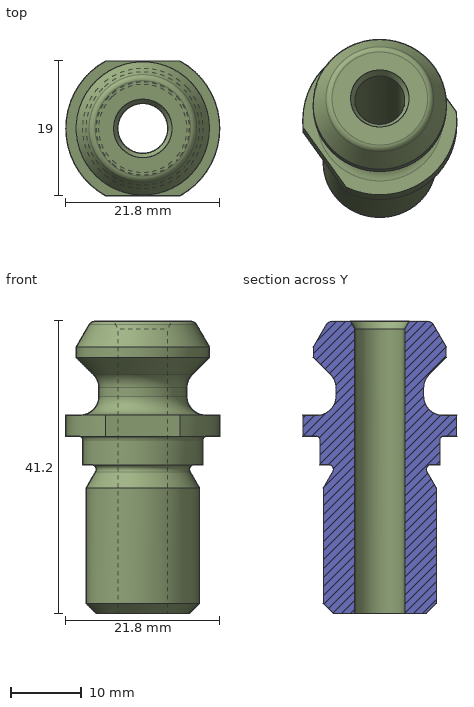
import cadquery as cq
import math

length = 41.25
bore_diameter = 7.0
bore_chamfer_width = 0.6
bore_chamfer_angle = math.radians(30)

shank_diameter = 16.0
shank_chamfer = 1.45

relief_diameter = 13.2
relief_fillet = 0.65
relief_taper_angle = 30

collar_diameter = 17.0
collar_bottom = 21.0
collar_fillet = 0.5

flange_diameter = 21.75
flange_bottom = 25.0
flange_top = 28.0
flats_width = 19.0

neck_diameter = 12.45
neck_fillet = 2.65
head_diameter = 18.8
head_rim_bottom = 36.15
head_rim_top = 37.6
head_taper_angle = math.radians(30)
head_edge_fillet = 1.0

shank_radius = shank_diameter / 2
relief_radius = relief_diameter / 2
collar_radius = collar_diameter / 2
flange_radius = flange_diameter / 2
neck_radius = neck_diameter / 2
head_radius = head_diameter / 2

relief_center = (relief_radius + relief_fillet, collar_bottom - relief_fillet)
relief_taper = math.radians(relief_taper_angle)
relief_cone_radius = relief_center[0] - relief_fillet * math.cos(relief_taper)
relief_cone_top = relief_center[1] - relief_fillet * math.sin(relief_taper)
shank_top = relief_cone_top - (shank_radius - relief_cone_radius) / math.tan(relief_taper)

diagonal = math.sqrt(0.5)
underside_radius = neck_radius + neck_fillet * (1 - diagonal)
underside_z = head_rim_bottom - (head_radius - underside_radius)
neck_top = underside_z - neck_fillet * diagonal
neck_bottom = flange_top + neck_fillet

edge_turn = math.pi / 2 - head_taper_angle
head_sharp_radius = head_radius - (length - head_rim_top) * math.tan(head_taper_angle)
top_face_radius = head_sharp_radius - head_edge_fillet * math.tan(edge_turn / 2)


def head_edge_point(turn):
    """Point on the head edge round after turning from the top face."""
    return (
        top_face_radius + head_edge_fillet * math.sin(turn),
        length - head_edge_fillet * (1 - math.cos(turn)),
    )


def concave_round(profile, radius, center, start_angle, end_angle):
    """Append an arc, with angles in degrees about its center."""
    points = []
    for angle in ((start_angle + end_angle) / 2, end_angle):
        turn = math.radians(angle)
        points.append((center[0] + radius * math.cos(turn), center[1] + radius * math.sin(turn)))
    return profile.threePointArc(*points)


def turned_body():
    """Solid of revolution about Z; the profile is (radius, height)."""
    profile = (
        cq.Workplane("XZ")
        .moveTo(0, 0)
        .lineTo(shank_radius - shank_chamfer, 0)
        .lineTo(shank_radius, shank_chamfer)
        .lineTo(shank_radius, shank_top)
        .lineTo(relief_cone_radius, relief_cone_top)
    )
    profile = concave_round(profile, relief_fillet, relief_center, 180 + relief_taper_angle, 90)
    profile = (
        profile.lineTo(collar_radius, collar_bottom)
        .lineTo(collar_radius, flange_bottom - collar_fillet)
    )
    collar_center = (collar_radius + collar_fillet, flange_bottom - collar_fillet)
    profile = concave_round(profile, collar_fillet, collar_center, 180, 90)
    profile = (
        profile.lineTo(flange_radius, flange_bottom)
        .lineTo(flange_radius, flange_top)
        .lineTo(neck_radius + neck_fillet, flange_top)
    )
    neck_center_radius = neck_radius + neck_fillet
    profile = concave_round(profile, neck_fillet, (neck_center_radius, neck_bottom), 270, 180)
    profile = profile.lineTo(neck_radius, neck_top)
    profile = concave_round(profile, neck_fillet, (neck_center_radius, neck_top), 180, 135)
    profile = (
        profile.lineTo(head_radius, head_rim_bottom)
        .lineTo(head_radius, head_rim_top)
        .lineTo(*head_edge_point(edge_turn))
        .threePointArc(head_edge_point(edge_turn / 2), head_edge_point(0))
        .lineTo(0, length)
        .close()
    )
    return profile.revolve(360, (0, 0, 0), (0, 1, 0))


def flats_envelope():
    """Slab that trims the flange to its two flats, facing -Y and +Y."""
    return cq.Workplane("XY").box(flange_diameter, flats_width, length, centered=(True, True, False))


def chamfered_bore():
    """Through bore, widened by a chamfer at the head face."""
    bore_radius = bore_diameter / 2
    bore_chamfer_depth = bore_chamfer_width / math.tan(bore_chamfer_angle)
    return (
        cq.Workplane("XZ")
        .lineTo(bore_radius, 0)
        .lineTo(bore_radius, length - bore_chamfer_depth)
        .lineTo(bore_radius + bore_chamfer_width, length)
        .lineTo(0, length)
        .close()
        .revolve(360, (0, 0, 0), (0, 1, 0))
    )


result = turned_body().intersect(flats_envelope()).cut(chamfered_bore())